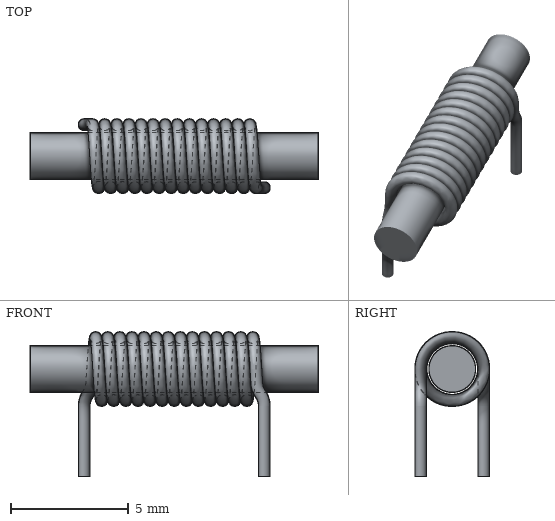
import cadquery as cq
import math

CORE_LENGTH = 12.3
CORE_DIAMETER = 2.0

WIRE_DIAMETER = 0.5
COIL_OUTER_DIAMETER = 3.2
COIL_PITCH = 0.52
COIL_TURNS = 13.5
COIL_RADIUS = (COIL_OUTER_DIAMETER - WIRE_DIAMETER) / 2
COIL_LENGTH = COIL_PITCH * COIL_TURNS

LEAD_STRAIGHT = 0.62
BEND_RADIUS = 0.9
BEND_ANGLE = math.radians(35)
LEG_BOTTOM_Z = -4.6


def make_core():
    return (
        cq.Workplane("YZ", origin=(-CORE_LENGTH / 2, 0, 0))
        .circle(CORE_DIAMETER / 2)
        .extrude(CORE_LENGTH)
    )


def make_coil():
    """Sweep the round wire along the helix."""
    coil_frame = cq.Plane(origin=(-COIL_LENGTH / 2, 0, 0), xDir=(0, 1, 0), normal=(1, 0, 0))
    helix = cq.Wire.makeHelix(COIL_PITCH, COIL_LENGTH, COIL_RADIUS).moved(coil_frame.location)
    section = cq.Plane(origin=helix.startPoint(), xDir=(0, 1, 0), normal=helix.tangentAt(0))
    return cq.Workplane(section).circle(WIRE_DIAMETER / 2).sweep(cq.Workplane(helix), isFrenet=True)


def make_lead():
    """Lead that leaves the +X end of the coil and turns down into a vertical leg."""
    start_lean = math.atan(COIL_PITCH / (2 * math.pi * COIL_RADIUS))
    start_x = COIL_LENGTH / 2
    bend_x = start_x + LEAD_STRAIGHT * math.sin(start_lean)
    bend_z = -LEAD_STRAIGHT * math.cos(start_lean)

    outward_center_x = bend_x + BEND_RADIUS * math.cos(start_lean)
    outward_center_z = bend_z + BEND_RADIUS * math.sin(start_lean)

    def outward_point(lean):
        return (
            outward_center_x - BEND_RADIUS * math.cos(lean),
            outward_center_z - BEND_RADIUS * math.sin(lean),
        )

    middle = outward_point(BEND_ANGLE)
    return_center_x = middle[0] - BEND_RADIUS * math.cos(BEND_ANGLE)
    return_center_z = middle[1] - BEND_RADIUS * math.sin(BEND_ANGLE)

    def return_point(lean):
        return (
            return_center_x + BEND_RADIUS * math.cos(lean),
            return_center_z + BEND_RADIUS * math.sin(lean),
        )

    leg_top = return_point(0)
    path = (
        cq.Workplane("XZ", origin=(0, -COIL_RADIUS, 0))
        .moveTo(start_x, 0)
        .lineTo(bend_x, bend_z)
        .threePointArc(outward_point((start_lean + BEND_ANGLE) / 2), middle)
        .threePointArc(return_point(BEND_ANGLE / 2), leg_top)
        .lineTo(leg_top[0], LEG_BOTTOM_Z)
    )
    start_direction = (math.sin(start_lean), 0, -math.cos(start_lean))
    section = cq.Plane(origin=(start_x, -COIL_RADIUS, 0), xDir=(0, 1, 0), normal=start_direction)
    return cq.Workplane(section).circle(WIRE_DIAMETER / 2).sweep(path)


def make_winding():
    """Join the coil and its two leads, which are half a turn apart about Z."""
    winding = make_coil()
    lead = make_lead()
    for angle in (0, 180):
        winding = winding.union(lead.rotate((0, 0, 0), (0, 0, 1), angle))
    return winding


core = make_core()
winding = make_winding()

result = cq.Compound.makeCompound([core.val(), *winding.solids().vals()])